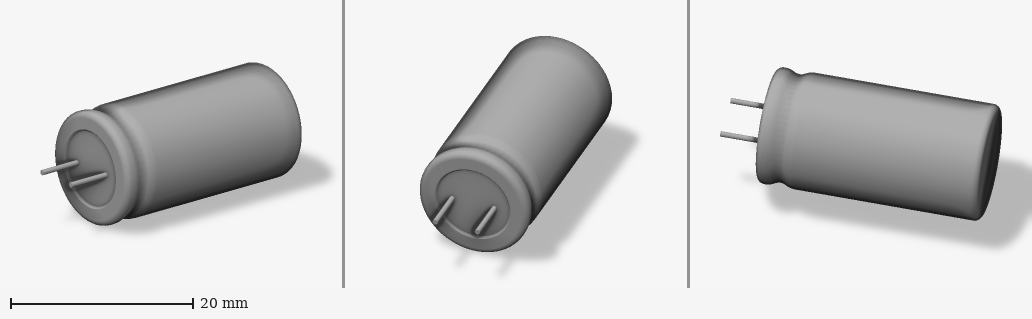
import cadquery as cq
import math

total_length = 29.75
can_length = 25.0
can_radius = 13.0 / 2
edge_radius = 0.68

groove_distance = 2.5
waist_arc_radius = 1.37
shoulder_arc_radius = 2.0
groove_arc_angle = math.radians(30)

recess_mouth_radius = 4.5
recess_floor_radius = 4.25
recess_depth = 0.25

lead_diameter = 0.6
lead_spacing = 5.0

back_y = total_length / 2
lead_tip_y = -total_length / 2
face_y = back_y - can_length
floor_y = face_y + recess_depth
groove_y = face_y + groove_distance


def arc_offset(radius, angle):
    """Axial travel and radial drop along an arc that starts parallel to the axis."""
    return radius * math.sin(angle), radius * (1 - math.cos(angle))


def make_can():
    """Revolve the half profile, given as (radius, y) points, about the Y axis."""
    shoulder_run, shoulder_drop = arc_offset(shoulder_arc_radius, groove_arc_angle)
    half_shoulder_run, half_shoulder_drop = arc_offset(shoulder_arc_radius, groove_arc_angle / 2)
    waist_run, waist_drop = arc_offset(waist_arc_radius, groove_arc_angle)

    groove_half_width = waist_run + shoulder_run
    shoulder_mid = groove_half_width - half_shoulder_run
    shoulder_mid_radius = can_radius - half_shoulder_drop
    blend_radius = can_radius - shoulder_drop
    waist_radius = blend_radius - waist_drop

    flat_radius = can_radius - edge_radius
    edge_mid_inset = edge_radius * (1 - math.cos(math.pi / 4))
    edge_mid_radius = can_radius - edge_mid_inset

    profile = (
        cq.Workplane("XY")
        .moveTo(0, floor_y)
        .lineTo(recess_floor_radius, floor_y)
        .lineTo(recess_mouth_radius, face_y)
        .lineTo(flat_radius, face_y)
        .threePointArc(
            (edge_mid_radius, face_y + edge_mid_inset),
            (can_radius, face_y + edge_radius),
        )
        .lineTo(can_radius, groove_y - groove_half_width)
        .threePointArc(
            (shoulder_mid_radius, groove_y - shoulder_mid),
            (blend_radius, groove_y - waist_run),
        )
        .threePointArc(
            (waist_radius, groove_y),
            (blend_radius, groove_y + waist_run),
        )
        .threePointArc(
            (shoulder_mid_radius, groove_y + shoulder_mid),
            (can_radius, groove_y + groove_half_width),
        )
        .lineTo(can_radius, back_y - edge_radius)
        .threePointArc(
            (edge_mid_radius, back_y - edge_mid_inset),
            (flat_radius, back_y),
        )
        .lineTo(0, back_y)
        .close()
    )
    return profile.revolve(360, (0, 0, 0), (0, 1, 0))


def make_leads():
    """Two round wires standing on the recess floor, one on each side of the axis."""
    return (
        cq.Workplane("XZ", origin=(0, floor_y, 0))
        .pushPoints([(-lead_spacing / 2, 0), (lead_spacing / 2, 0)])
        .circle(lead_diameter / 2)
        .extrude(floor_y - lead_tip_y)
    )


result = make_can().union(make_leads())